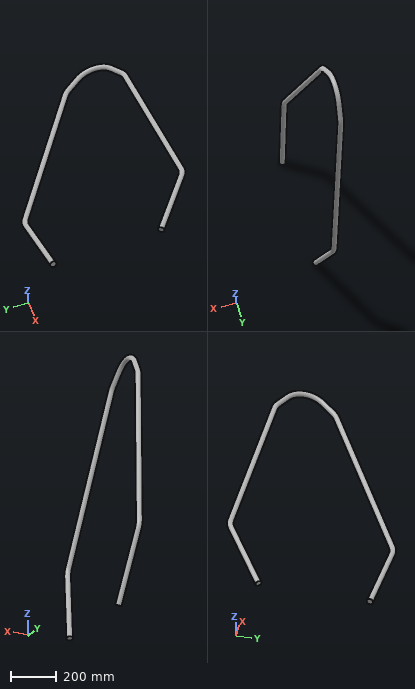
import math

import cadquery as cq

BAR_DIAMETER = 30.3

LEAN_ANGLE = 7.5
HOOP_HEIGHT = 1254.1
HOOP_HALF_WIDTH = 369.82
HIP_HEIGHT = 350.0
FOOT_ANGLE = 19.0
LEG_ANGLE = 16.5
CROWN_ANGLE = 40.5
HIP_RADIUS = 75.0
SHOULDER_RADIUS = 75.0
CROWN_RADIUS = 105.0


def slope(angle):
    """Sideways travel per unit of height for a straight at this angle."""
    return math.tan(math.radians(angle))


def corner_overshoot(radius, turn_angle):
    """Distance from the middle of a bend out to its sharp corner."""
    return radius * (1 / math.cos(math.radians(turn_angle / 2)) - 1)


def bend_points(before, corner, after, radius):
    """Start, middle and end of the arc that rounds a sharp corner."""
    to_before = (before - corner).normalized()
    to_after = (after - corner).normalized()
    half_opening = to_before.getAngle(to_after) / 2
    setback = radius / math.tan(half_opening)
    overshoot = radius / math.sin(half_opening) - radius
    inward = (to_before + to_after).normalized()
    return corner + to_before * setback, corner + inward * overshoot, corner + to_after * setback


def sharp_corners():
    """Corners of the bend line before rounding, from one cut end to the other."""
    hip_u = HOOP_HALF_WIDTH + corner_overshoot(HIP_RADIUS, FOOT_ANGLE + LEG_ANGLE)
    foot_u = hip_u - HIP_HEIGHT * slope(FOOT_ANGLE)
    peak_v = HOOP_HEIGHT + corner_overshoot(CROWN_RADIUS, 180 - 2 * CROWN_ANGLE)

    leg_u_at_peak = hip_u - (peak_v - HIP_HEIGHT) * slope(LEG_ANGLE)
    shoulder_drop = leg_u_at_peak / (slope(CROWN_ANGLE) - slope(LEG_ANGLE))
    shoulder_u = shoulder_drop * slope(CROWN_ANGLE)
    shoulder_v = peak_v - shoulder_drop

    half = [(foot_u, 0), (hip_u, HIP_HEIGHT), (shoulder_u, shoulder_v)]
    mirrored = [(-u, v) for u, v in reversed(half)]
    return [cq.Vector(u, v, 0) for u, v in half + [(0, peak_v)] + mirrored]


def bend_line(plane):
    """Straights joined by tangent arcs, as one wire in the given plane."""
    corners = sharp_corners()
    radii = [HIP_RADIUS, SHOULDER_RADIUS, CROWN_RADIUS, SHOULDER_RADIUS, HIP_RADIUS]
    path = cq.Workplane(plane).moveTo(corners[0].x, corners[0].y)
    for before, corner, after, radius in zip(corners, corners[1:], corners[2:], radii):
        start, middle, end = bend_points(before, corner, after, radius)
        path = path.lineTo(start.x, start.y)
        path = path.threePointArc((middle.x, middle.y), (end.x, end.y))
    return path.lineTo(corners[-1].x, corners[-1].y)


def bar_section(plane):
    """Round section, square to the first foot at its cut end."""
    first, second = sharp_corners()[:2]
    direction = plane.toWorldCoords(second) - plane.toWorldCoords(first)
    section_plane = cq.Plane(plane.toWorldCoords(first), normal=direction)
    return cq.Workplane(section_plane).circle(BAR_DIAMETER / 2)


lean = math.radians(LEAN_ANGLE)
hoop_plane = cq.Plane(
    origin=(0, 0, 0),
    xDir=(0, 1, 0),
    normal=(math.cos(lean), 0, math.sin(lean)),
)
result = bar_section(hoop_plane).sweep(bend_line(hoop_plane))